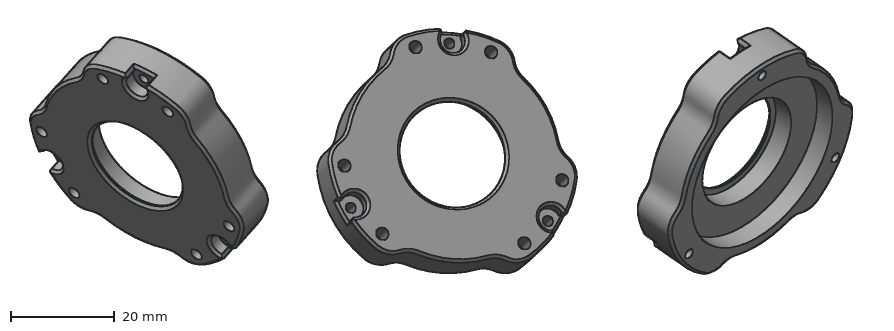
import cadquery as cq
import math

thickness = 9.5
edge_chamfer = 0.6
lobe_count = 3
lobe_pitch = 360 / lobe_count

lobe_radius = 25.0
valley_radius = 21.5
lobe_half_angle = 21.9
shoulder_radius = 5.0
hollow_radius = shoulder_radius

lip_diameter = 21.05
lip_depth = 1.0
seat_diameter = 23.8
seat_depth = 5.25
recess_diameter = 37.7

screw_circle_radius = 22.65
screw_hole_diameter = 2.05
counterbore_radius = 2.5
counterbore_depth = 3.0

blind_circle_radius = 22.0
blind_half_angle = 20.0
blind_diameter = 2.5
blind_depth = 5.95
drill_point_angle = 118.0


def polar(radius, angle):
    """Point in the plate plane, with the angle in degrees measured from +Z towards +X."""
    turn = math.radians(angle)
    return (radius * math.sin(turn), radius * math.cos(turn))


def between(start, end, fraction):
    """Point on the line from start to end."""
    return tuple(s + fraction * (e - s) for s, e in zip(start, end))


def toward(center, target, distance):
    """Point at the given distance from center, in the direction of target."""
    return between(center, target, distance / math.dist(center, target))


def rear_facing(y):
    """Sketch plane at depth y: local x is +X, local y is +Z, extrusion goes towards -Y."""
    return cq.Workplane("XZ", origin=(0, y, 0))


def drill(radius, depth):
    """Cylinder about the Y axis from the front face into the plate."""
    return rear_facing(depth).circle(radius).extrude(depth)


def turned(profile):
    """Solid of revolution about the Y axis from (radius, depth) points."""
    return cq.Workplane("XY").polyline(profile).close().revolve(360, (0, 0, 0), (0, 1, 0))


def countersink(radius):
    """Cone about the Y axis that chamfers the front rim of a round opening."""
    profile = [(0, 0), (radius + edge_chamfer, 0), (radius, edge_chamfer), (0, edge_chamfer)]
    return turned(profile)


def place(tool, radius, angle):
    """Move a tool from the plate axis to a radius and angle in the plate plane."""
    x, z = polar(radius, angle)
    return tool.translate((x, 0, z))


shoulder_center_radius = lobe_radius - shoulder_radius
hollow_center_radius = valley_radius + hollow_radius
center_distance = shoulder_radius + hollow_radius
shoulder_to_hollow_angle = math.degrees(
    math.acos(
        (shoulder_center_radius**2 + hollow_center_radius**2 - center_distance**2)
        / (2 * shoulder_center_radius * hollow_center_radius)
    )
)
hollow_angle = lobe_half_angle + shoulder_to_hollow_angle


def blend_points(lobe_angle, side):
    """Shoulder and hollow arcs beside a lobe: end, middle, joint, middle and end points."""
    shoulder_center = polar(shoulder_center_radius, lobe_angle + side * lobe_half_angle)
    hollow_center = polar(hollow_center_radius, lobe_angle + side * hollow_angle)
    lobe_end = polar(lobe_radius, lobe_angle + side * lobe_half_angle)
    valley_end = polar(valley_radius, lobe_angle + side * hollow_angle)
    joint = toward(shoulder_center, hollow_center, shoulder_radius)
    shoulder_middle = toward(shoulder_center, between(lobe_end, joint, 0.5), shoulder_radius)
    hollow_middle = toward(hollow_center, between(joint, valley_end, 0.5), hollow_radius)
    return [lobe_end, shoulder_middle, joint, hollow_middle, valley_end]


def make_plate():
    """Lobed plate with both outer rims chamfered."""
    outline = rear_facing(thickness).moveTo(*polar(lobe_radius, -lobe_half_angle))
    for index in range(lobe_count):
        lobe_angle = index * lobe_pitch
        next_angle = lobe_angle + lobe_pitch
        valley_angle = (lobe_angle + next_angle) / 2
        lobe_end, shoulder_out, joint_out, hollow_out, valley_start = blend_points(lobe_angle, 1)
        lobe_start, shoulder_in, joint_in, hollow_in, valley_end = blend_points(next_angle, -1)
        outline = (
            outline.threePointArc(polar(lobe_radius, lobe_angle), lobe_end)
            .threePointArc(shoulder_out, joint_out)
            .threePointArc(hollow_out, valley_start)
            .threePointArc(polar(valley_radius, valley_angle), valley_end)
            .threePointArc(hollow_in, joint_in)
            .threePointArc(shoulder_in, lobe_start)
        )
    plate = outline.close().extrude(thickness)
    return plate.faces("<Y or >Y").chamfer(edge_chamfer)


def make_opening():
    """Stepped opening through the middle of the plate, widening towards the back."""
    lip = drill(lip_diameter / 2, thickness).union(countersink(lip_diameter / 2))
    seat = rear_facing(thickness).circle(seat_diameter / 2).extrude(thickness - lip_depth)
    recess = rear_facing(thickness).circle(recess_diameter / 2).extrude(thickness - seat_depth)
    return lip.union(seat).union(recess)


def make_screw_pocket():
    """Counterbore of the lobe at the +Z side, with its mouth flared through the rim."""
    center = (0, screw_circle_radius)
    offset_wall = counterbore_radius + edge_chamfer
    offset_rim = lobe_radius - edge_chamfer
    corner_z = (offset_rim**2 - offset_wall**2 + screw_circle_radius**2) / (2 * screw_circle_radius)
    corner = (math.sqrt(offset_rim**2 - corner_z**2), corner_z)
    wall_x, wall_z = toward(center, corner, counterbore_radius)
    rim_x, rim_z = toward((0, 0), corner, lobe_radius)
    mouth_z = lobe_radius + edge_chamfer
    mouth_x = rim_x + (mouth_z - rim_z) * (rim_x - wall_x) / (rim_z - wall_z)

    deepest = counterbore_depth + 2 * edge_chamfer
    mouth_outline = [(-wall_x, wall_z), (wall_x, wall_z), (mouth_x, mouth_z), (-mouth_x, mouth_z)]
    mouth = rear_facing(deepest).polyline(mouth_outline).close().extrude(deepest)
    bore = place(drill(counterbore_radius, deepest), screw_circle_radius, 0)

    floor_end_radius = lobe_radius + edge_chamfer
    floor_profile = [
        (0, 0),
        (floor_end_radius, 0),
        (floor_end_radius, deepest),
        (offset_rim, counterbore_depth),
        (0, counterbore_depth),
    ]
    depth_limit = turned(floor_profile)
    pocket = bore.union(mouth).intersect(depth_limit)
    return pocket.union(place(countersink(counterbore_radius), screw_circle_radius, 0))


def make_blind_hole():
    """Drilled hole with a conical end."""
    radius = blind_diameter / 2
    tip_depth = blind_depth + radius / math.tan(math.radians(drill_point_angle / 2))
    profile = [(0, 0), (radius, 0), (radius, blind_depth), (0, tip_depth)]
    return turned(profile)


result = make_plate().cut(make_opening())
screw_pocket = make_screw_pocket()
screw_hole = drill(screw_hole_diameter / 2, thickness)
blind_hole = make_blind_hole()

for index in range(lobe_count):
    lobe_angle = index * lobe_pitch
    result = result.cut(screw_pocket.rotate((0, 0, 0), (0, 1, 0), lobe_angle))
    result = result.cut(place(screw_hole, screw_circle_radius, lobe_angle))
    for side in (-1, 1):
        result = result.cut(place(blind_hole, blind_circle_radius, lobe_angle + side * blind_half_angle))